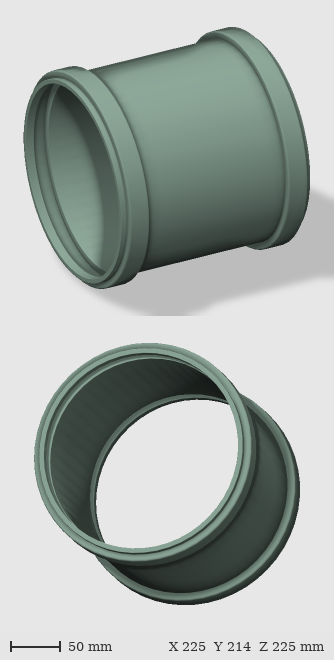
import cadquery as cq

LENGTH = 214.0
PIPE_DIAMETER = 209.3
BORE_DIAMETER = 200.5
HOUSING_DIAMETER = 225.0
GROOVE_DIAMETER = 216.3
LIP_DIAMETER = 210.7
LIP_BORE_DIAMETER = 200.8
LIP_LENGTH = 6.3
HOUSING_WIDTH = 22.0
HOUSING_ROUND = 1.8
EDGE_ROUND = 0.5
GROOVE_WALL = 3.0

GROOVE_WIDTH = HOUSING_WIDTH - 2 * GROOVE_WALL
HALF_LENGTH = LENGTH / 2
HOUSING_START = HALF_LENGTH - LIP_LENGTH - HOUSING_WIDTH
GROOVE_START = HOUSING_START + GROOVE_WALL
GROOVE_END = GROOVE_START + GROOVE_WIDTH


def disc(diameter, start, end):
    """Solid cylinder on the Y axis between two Y positions."""
    return cq.Workplane("XZ", origin=(0, start, 0)).circle(diameter / 2).extrude(start - end)


def round_edges(body, diameter):
    """Round every circular edge of the given diameter."""
    edges = body.edges("%CIRCLE").filter(lambda edge: abs(edge.radius() - diameter / 2) < 0.0002)
    return edges.fillet(EDGE_ROUND)


def mirrored_pair(body):
    """The body together with its mirror image at the other end."""
    return body.union(body.mirror("XZ"))


housing = disc(HOUSING_DIAMETER, HOUSING_START, HOUSING_START + HOUSING_WIDTH)
housing = housing.edges().fillet(HOUSING_ROUND)
lip = disc(LIP_DIAMETER, GROOVE_END, HALF_LENGTH)
outer = disc(PIPE_DIAMETER, -HALF_LENGTH, HALF_LENGTH).union(mirrored_pair(housing.union(lip)))

groove = disc(GROOVE_DIAMETER, GROOVE_START, GROOVE_END)
opening = disc(LIP_BORE_DIAMETER, GROOVE_END, HALF_LENGTH)
bore = disc(BORE_DIAMETER, -GROOVE_START, GROOVE_START)
result = outer.cut(bore).cut(mirrored_pair(groove.union(opening)))

for diameter in (PIPE_DIAMETER, LIP_DIAMETER, BORE_DIAMETER, LIP_BORE_DIAMETER):
    result = round_edges(result, diameter)